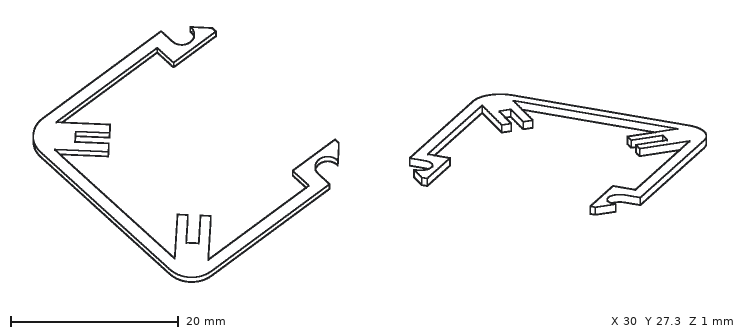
import cadquery as cq
import math

width = 30
height = 27.3
thickness = 1.0
wall = 1.5
corner_radius = 3.5

hook_inner_x = 4.4
hook_flat = 0.7
ledge_thickness = 1.98
notch_radius = 1.5
notch_x = 2.0
notch_y = height - 3.33
tip_x = 1.85

arm_width = 4.0
arm_root = 2.1
arm_reach = 10.53
slot_width = 1.5
slot_depth = 4.05

shoulder_y = notch_y - notch_radius
ledge_y = shoulder_y - ledge_thickness
tip_y = notch_y + math.sqrt(notch_radius**2 - (notch_x - tip_x)**2)


def diagonal_bar(start, end, bar_width):
    """Bar on the 45 degree corner diagonal, between two distances from the origin."""
    return (
        cq.Workplane("XY")
        .transformed(rotate=(0, 0, 45))
        .center((start + end) / 2, 0)
        .rect(end - start, bar_width)
        .extrude(thickness)
    )


def hook():
    """Ledge on the left wall carrying a barbed hook with a round notch."""
    return (
        cq.Workplane("XY")
        .moveTo(0, ledge_y)
        .lineTo(hook_inner_x, ledge_y)
        .lineTo(hook_inner_x, height)
        .lineTo(hook_inner_x - hook_flat, height)
        .lineTo(tip_x, tip_y)
        .threePointArc((notch_x + notch_radius, notch_y), (notch_x, shoulder_y))
        .lineTo(0, shoulder_y)
        .close()
        .extrude(thickness)
    )


def left_half():
    """Left half of the frame, up to the vertical symmetry plane."""
    outer = cq.Workplane("XY").rect(width / 2, shoulder_y, centered=False).extrude(thickness)
    outer = outer.edges("|Z and <X and <Y").fillet(corner_radius)
    opening = (
        cq.Workplane("XY")
        .center(wall, wall)
        .rect(width / 2 - wall, shoulder_y - wall, centered=False)
        .extrude(thickness)
    )
    arm = diagonal_bar(arm_root, arm_reach, arm_width)
    slot = diagonal_bar(arm_reach - slot_depth, arm_reach, slot_width)
    return outer.cut(opening).union(arm).cut(slot).union(hook())


left = left_half().translate((-width / 2, 0, 0))
result = left.union(left.mirror("YZ")).clean()